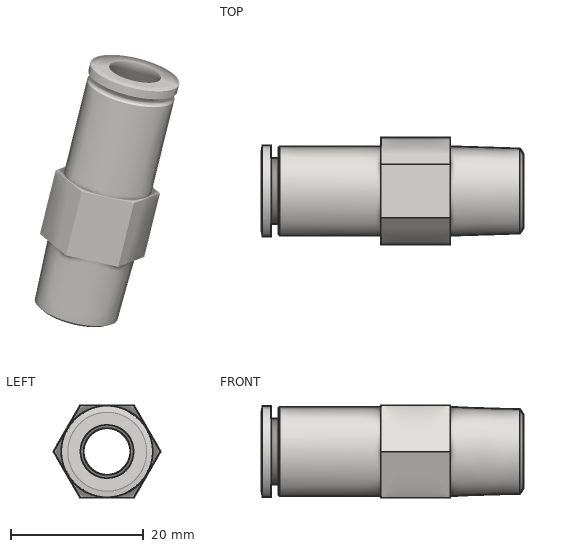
import cadquery as cq
import math

total_length = 39.5
flange_end = 1.45
body_start = 2.55
hex_start = 18.0
hex_end = 28.48

flange_diameter = 13.8
flange_face_diameter = 11.9
flange_bevel_length = 0.15
neck_diameter = 10.0

body_diameter = 13.5
body_chamfer = 0.25

hex_across_flats = 14.0
hex_across_corners = hex_across_flats / math.cos(math.pi / 6)

taper_ratio = 1 / 16
tip_diameter = 11.1
tip_bevel_length = 0.55
tip_bevel_start = total_length - tip_bevel_length
taper_large_diameter = body_diameter
taper_small_diameter = taper_large_diameter - taper_ratio * (tip_bevel_start - hex_end)

socket_diameter = 8.0
socket_depth = hex_start
bore_diameter = 7.0


def turned_exterior():
    """Revolve the stepped and tapered outer profile about the X axis."""
    profile = [
        (0, 0),
        (0, flange_face_diameter / 2),
        (flange_bevel_length, flange_diameter / 2),
        (flange_end, flange_diameter / 2),
        (flange_end, neck_diameter / 2),
        (body_start, neck_diameter / 2),
        (body_start, body_diameter / 2 - body_chamfer),
        (body_start + body_chamfer, body_diameter / 2),
        (hex_end, taper_large_diameter / 2),
        (tip_bevel_start, taper_small_diameter / 2),
        (total_length, tip_diameter / 2),
        (total_length, 0),
    ]
    return cq.Workplane("XY").polyline(profile).close().revolve(360, (0, 0), (1, 0))


def along_x(start):
    """Return a plane facing +X whose local x direction is +Y."""
    return cq.Workplane("YZ", origin=(start, 0, 0))


def hexagon():
    return along_x(hex_start).polygon(6, hex_across_corners).extrude(hex_end - hex_start)


def stepped_bore():
    socket = along_x(0).circle(socket_diameter / 2).extrude(socket_depth)
    bore = along_x(0).circle(bore_diameter / 2).extrude(total_length)
    return socket.union(bore)


result = turned_exterior().union(hexagon()).cut(stepped_bore())